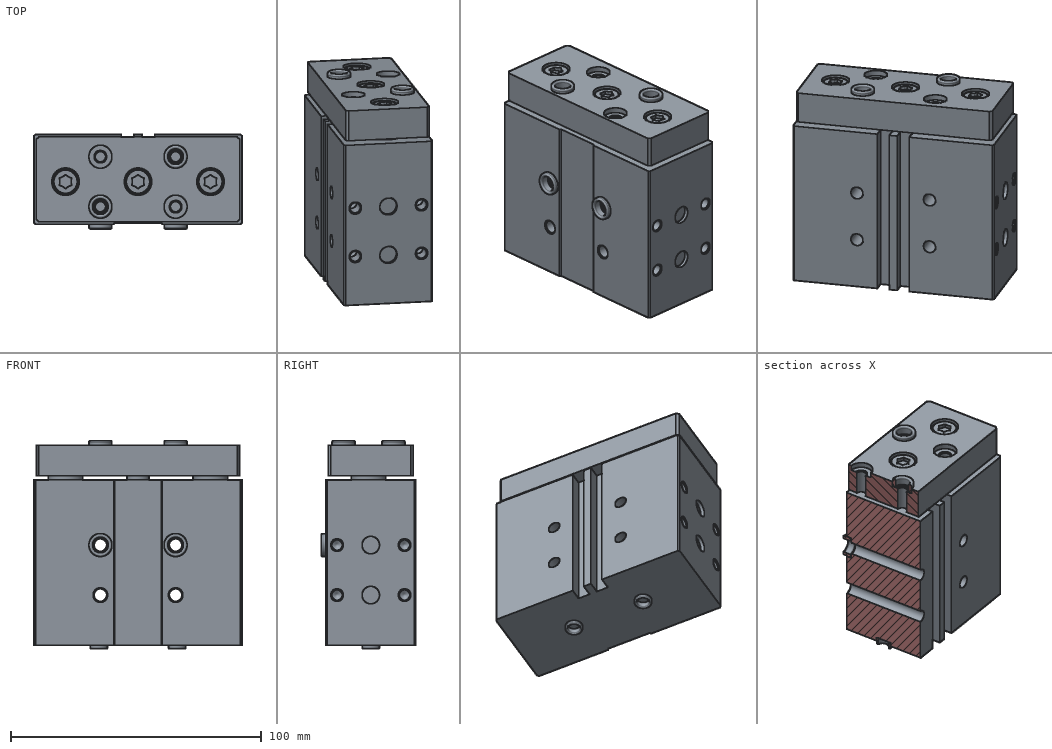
import cadquery as cq
import math


housing_length = 83.0
housing_width = 36.0
housing_height = 66.0
housing_chamfer = 0.7
front_recess_width = 19.45
front_recess_depth = 0.6
front_recess_slope = 0.4
rear_slot_width = 5.0
rear_slot_depth = 5.0
rear_rib_width = 3.2

yoke_length = 81.0
yoke_width = 34.0
yoke_height = 12.3
yoke_gap = 1.6
yoke_chamfer = 1.0
yoke_bottom = housing_height + yoke_gap
yoke_top = yoke_bottom + yoke_height

rod_offset_y = -0.9
guide_spacing = 57.8
guide_diameter = 14.0
piston_rod_diameter = 9.0
rod_depth = 49.9
screw_bore_diameter = 11.0
screw_bore_depth = 6.65
screw_head_diameter = 10.0
screw_head_sink = 0.7
screw_head_chamfer = 0.3
star_tip_radius = 2.8
star_valley_radius = 2.25
star_points = 6
star_depth = 1.4

large_sleeve_diameter = 9.2
large_sleeve_bore = 6.2
large_sleeve_length = 4.0
large_seat_depth = 2.2
small_sleeve_diameter = 7.0
small_sleeve_bore = 4.9
small_sleeve_length = 3.0
small_seat_depth = 1.6

hole_pitch = 30.0
hole_half_pitch = hole_pitch / 2
lower_hole_z = 20.0
upper_hole_z = 40.0
yoke_hole_half_pitch_y = 10.0
bottom_sleeve_half_pitch = 15.6
front_hole_diameter = 5.0
thread_hole_diameter = 4.15
hole_chamfer = 0.4
side_hole_half_pitch = 13.5
side_hole_depth = 8.0
drill_tip_angle = 118

UP = cq.Vector(0, 0, 1)
DOWN = cq.Vector(0, 0, -1)
FRONT = cq.Vector(0, -1, 0)
BACK = cq.Vector(0, 1, 0)
front_y = -housing_width / 2
guide_points = [cq.Vector(side * guide_spacing / 2, rod_offset_y, 0) for side in (-1, 1)]
piston_point = cq.Vector(0, rod_offset_y, 0)
front_sleeve_points = [cq.Vector(side * hole_half_pitch, front_y, upper_hole_z) for side in (-1, 1)]
front_hole_points = [cq.Vector(side * hole_half_pitch, front_y, lower_hole_z) for side in (-1, 1)]
bottom_sleeve_points = [cq.Vector(side * bottom_sleeve_half_pitch, 0, 0) for side in (-1, 1)]


def yoke_hole_point(side_x, side_y):
    return cq.Vector(side_x * hole_half_pitch, rod_offset_y + side_y * yoke_hole_half_pitch_y, yoke_top)


yoke_sleeve_points = [yoke_hole_point(side, side) for side in (-1, 1)]
yoke_open_points = [yoke_hole_point(side, -side) for side in (-1, 1)]


def cylinder(diameter, length, start, direction):
    return cq.Solid.makeCylinder(diameter / 2, length, start, direction)


def chamfered_hole(diameter, depth, start, direction):
    """Cutter for a round hole with a chamfered mouth."""
    mouth = cq.Solid.makeCone(diameter / 2 + hole_chamfer, diameter / 2, hole_chamfer, start, direction)
    return cylinder(diameter, depth, start, direction).fuse(mouth)


def drilled_hole(diameter, depth, start, direction):
    """Cutter for a blind chamfered hole with a conical end."""
    tip_length = diameter / 2 / math.tan(math.radians(drill_tip_angle / 2))
    tip = cq.Solid.makeCone(diameter / 2, 0, tip_length, start + direction * depth, direction)
    return chamfered_hole(diameter, depth, start, direction).fuse(tip)


def chamfered_block(length, width, height, bottom, chamfer):
    block = cq.Workplane("XY").workplane(offset=bottom).rect(length, width).extrude(height)
    return block.edges("|Z").chamfer(chamfer)


def cut_face_profile(housing):
    """Cut the shallow slope-sided front recess and the two rear slots along the full height."""
    mouth_x = front_recess_width / 2
    floor_x = mouth_x - front_recess_slope
    floor_y = front_y + front_recess_depth
    corners = [(-mouth_x, front_y), (-floor_x, floor_y), (floor_x, floor_y), (mouth_x, front_y)]
    recess = cq.Workplane("XY").polyline(corners).close().extrude(housing_height)
    housing = housing.cut(recess)
    slot_x = (rear_rib_width + rear_slot_width) / 2
    slots = (
        cq.Workplane("XY")
        .pushPoints([(-slot_x, housing_width / 2), (slot_x, housing_width / 2)])
        .rect(rear_slot_width, 2 * rear_slot_depth)
        .extrude(housing_height)
    )
    return housing.cut(slots)


def cut_front_holes(housing):
    for point in front_sleeve_points:
        seat_floor = point + BACK * large_seat_depth
        housing = housing.cut(cylinder(large_sleeve_diameter, large_seat_depth, point, BACK))
        housing = housing.cut(chamfered_hole(front_hole_diameter, housing_width, seat_floor, BACK))
    for point in front_hole_points:
        housing = housing.cut(chamfered_hole(front_hole_diameter, housing_width, point, BACK))
    return housing


def cut_side_holes(housing):
    """Cut two rows of a sleeve seat between two threaded holes in each end face."""
    for side in (-1, 1):
        inward = cq.Vector(-side, 0, 0)
        for z in (lower_hole_z, upper_hole_z):
            seat = cq.Vector(side * housing_length / 2, 0, z)
            housing = housing.cut(cylinder(small_sleeve_diameter, small_seat_depth, seat, inward))
            for direction in (FRONT, BACK):
                start = seat + direction * side_hole_half_pitch
                housing = housing.cut(drilled_hole(thread_hole_diameter, side_hole_depth, start, inward))
    return housing


def rod(diameter, point):
    """Round rod from the underside of the yoke down into the housing."""
    return cylinder(diameter, yoke_gap + rod_depth, point + UP * yoke_bottom, DOWN)


def make_housing():
    housing = chamfered_block(housing_length, housing_width, housing_height, 0, housing_chamfer)
    housing = cut_face_profile(housing)
    housing = cut_front_holes(housing)
    housing = cut_side_holes(housing)
    for point in bottom_sleeve_points:
        housing = housing.cut(cylinder(small_sleeve_diameter, small_seat_depth, point, UP))
    for point in guide_points:
        housing = housing.cut(rod(guide_diameter, point))
    return housing.cut(rod(piston_rod_diameter, piston_point))


def star_socket(point):
    """Cutter for the six-pointed socket in a screw head."""
    corners = []
    for index in range(2 * star_points):
        radius = star_valley_radius if index % 2 else star_tip_radius
        angle = math.pi / 2 + index * math.pi / star_points
        corners.append((point.x + radius * math.cos(angle), point.y + radius * math.sin(angle)))
    top = yoke_top - screw_head_sink
    return cq.Workplane("XY").workplane(offset=top).polyline(corners).close().extrude(-star_depth)


def add_screw(yoke, point):
    """Sink a screw head into the yoke, leaving a narrow ring gap around it."""
    height = screw_bore_depth - screw_head_sink
    head = (
        cq.Workplane(cylinder(screw_head_diameter, height, point + UP * (yoke_top - screw_bore_depth), UP))
        .faces(">Z")
        .chamfer(screw_head_chamfer)
        .cut(star_socket(point))
    )
    bore = cylinder(screw_bore_diameter, screw_bore_depth, point + UP * yoke_top, DOWN)
    return yoke.cut(bore).union(head)


def make_yoke():
    """Yoke plate with its screws and the two guide rods fixed to it."""
    yoke = chamfered_block(yoke_length, yoke_width, yoke_height, yoke_bottom, yoke_chamfer)
    for point in yoke_sleeve_points + yoke_open_points:
        seat_floor = point + DOWN * large_seat_depth
        yoke = yoke.cut(cylinder(large_sleeve_diameter, large_seat_depth, point, DOWN))
        yoke = yoke.cut(chamfered_hole(thread_hole_diameter, yoke_height, seat_floor, DOWN))
    for point in guide_points + [piston_point]:
        yoke = add_screw(yoke, point)
    for point in guide_points:
        yoke = yoke.union(cq.Workplane(rod(guide_diameter, point)))
    return yoke


def make_sleeve(diameter, bore, length, seat_depth, mouth, outward):
    """Ring with both ends rounded, standing in a seat.

    The mouth is the centre of the seat's opening.
    """
    base = mouth - outward * seat_depth
    outer_radius = diameter / 2
    bore_radius = bore / 2
    rim_radius = (outer_radius - bore_radius) / 2
    wall_top = length - rim_radius
    across = cq.Vector(1, 0, 0)
    section = (
        cq.Workplane(cq.Plane(base, across, across.cross(outward)))
        .moveTo(bore_radius, rim_radius)
        .threePointArc((bore_radius + rim_radius, 0), (outer_radius, rim_radius))
        .lineTo(outer_radius, wall_top)
        .threePointArc((bore_radius + rim_radius, length), (bore_radius, wall_top))
        .close()
    )
    return section.revolve(360, (0, 0), (0, 1)).val()


def make_large_sleeve(mouth, outward):
    return make_sleeve(
        large_sleeve_diameter,
        large_sleeve_bore,
        large_sleeve_length,
        large_seat_depth,
        mouth,
        outward,
    )


def make_small_sleeve(mouth, outward):
    return make_sleeve(
        small_sleeve_diameter,
        small_sleeve_bore,
        small_sleeve_length,
        small_seat_depth,
        mouth,
        outward,
    )


housing = make_housing()
yoke = make_yoke()
piston_rod = rod(piston_rod_diameter, piston_point)
yoke_sleeves = [make_large_sleeve(point, UP) for point in yoke_sleeve_points]
front_sleeves = [make_large_sleeve(point, FRONT) for point in front_sleeve_points]
bottom_sleeves = [make_small_sleeve(point, DOWN) for point in bottom_sleeve_points]

result = cq.Compound.makeCompound(
    [housing.val(), yoke.val(), piston_rod, *yoke_sleeves, *front_sleeves, *bottom_sleeves]
)